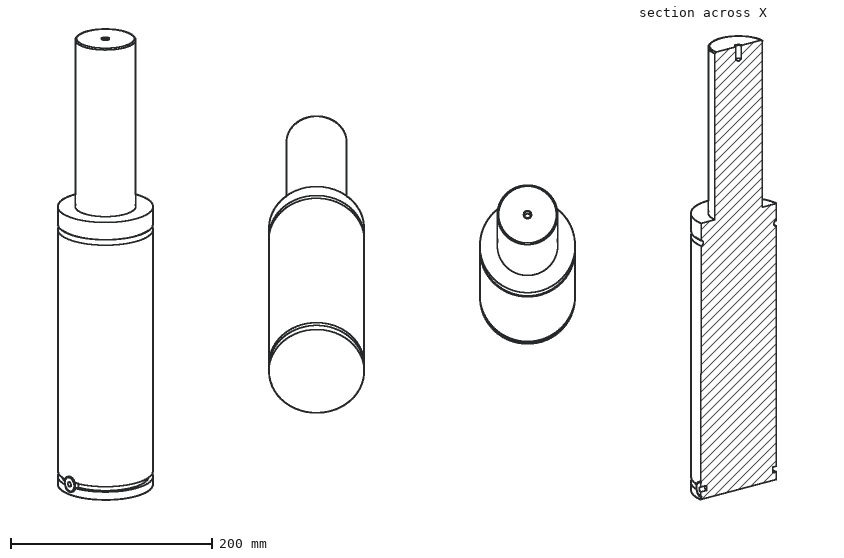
import cadquery as cq
import math

total_height = 470.0
body_diameter = 95.0
body_height = 293.0
rod_diameter = 60.0
rod_chamfer = 1.5

cap_height = 21.0
cap_groove_radius = 3.0

base_height = 8.5
base_groove_width = 5.5
base_groove_depth = 4.0

port_diameter = 16.0
port_face_diameter = 14.0
port_hole_diameter = 4.5
port_hole_depth = 7.0
port_drop = 0.5
port_root_depth = 9.5

rod_countersink_diameter = 8.0
rod_countersink_angle = 90
rod_hole_diameter = 6.5
rod_hole_depth = 14.0
drill_tip_angle = 118

body_radius = body_diameter / 2
port_height = base_height + base_groove_width / 2 - port_drop


def make_body():
    body = cq.Workplane("XY").circle(body_radius).extrude(body_height)
    base_groove = (
        cq.Workplane("XY")
        .workplane(offset=base_height)
        .circle(body_radius)
        .circle(body_radius - base_groove_depth)
        .extrude(base_groove_width)
    )
    cap_groove = (
        cq.Workplane("XZ")
        .center(body_radius, body_height - cap_height)
        .circle(cap_groove_radius)
        .revolve(360, (-body_radius, 0), (-body_radius, 1))
    )
    return body.cut(base_groove).cut(cap_groove)


def make_rod():
    rod = cq.Workplane("XY").circle(rod_diameter / 2).extrude(total_height)
    rod = rod.faces(">Z").chamfer(rod_chamfer)
    rod = rod.faces(">Z").workplane().cskHole(
        rod_hole_diameter, rod_countersink_diameter, rod_countersink_angle, rod_hole_depth
    )
    hole_radius = rod_hole_diameter / 2
    tip_length = hole_radius / math.tan(math.radians(drill_tip_angle / 2))
    hole_bottom = total_height - rod_hole_depth
    drill_tip = cq.Workplane("XY").add(
        cq.Solid.makeCone(0, hole_radius, tip_length, pnt=cq.Vector(0, 0, hole_bottom - tip_length))
    )
    return rod.cut(drill_tip)


def port_cylinder(diameter, outer_y, length):
    """Cylinder on the port axis, running inward (+Y) from outer_y."""
    return (
        cq.Workplane("XZ", origin=(0, outer_y, port_height))
        .circle(diameter / 2)
        .extrude(-length)
    )


def add_port(body):
    port_chamfer = (port_diameter - port_face_diameter) / 2
    pocket = port_cylinder(port_diameter, -body_radius, port_root_depth)
    plug = port_cylinder(port_diameter, -body_radius, port_root_depth)
    plug = plug.faces("<Y").chamfer(port_chamfer)
    hole = port_cylinder(port_hole_diameter, -body_radius, port_hole_depth)
    return body.cut(pocket).union(plug).cut(hole)


result = add_port(make_body()).union(make_rod())